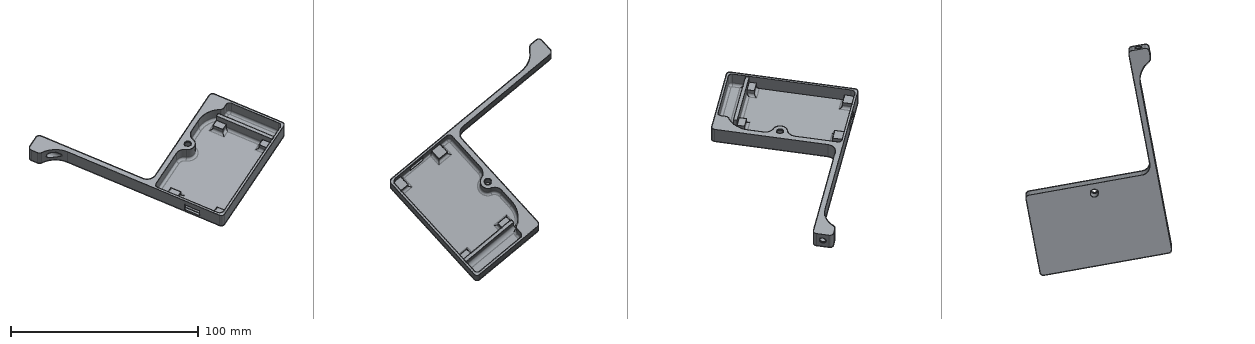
import math

import cadquery as cq

length = 113.5
thickness = 9.0
tray_width = 45.0
tray_depth = 71.5
corner_radius = 2.0

arm_width = 3.0
foot_drop = 8.0
foot_flat_end = 5.7
foot_radius = 2.3
foot_sweep_radius = 14.0
arm_root_radius = 5.0

floor_thickness = 1.0
wall = 1.35
lower_wall = 1.25
port_corner_radius = 2.5
left_wall = 3.0
floor_fillet = 1.5
port_side_fillet = 1.0
rib_back_fillet = 2.7
bay_left_offset = 11.0
shoulder_radius = 2.2
shoulder_sweep_radius = 14.0
shoulder_sweep_start = 51.7

hole_diameter = 3.6
bore_diameter = 4.3
lip_thickness = 1.0

screw_x = 73.8
screw_y = 35.0
screw_wall_radius = 4.0
screw_blend_radius = 5.0

pad_width = 6.0
pad_length = 6.0
lower_pads_top = 7.35
left_pad_x = 78.3
upper_pads_y = 55.2
pad_top = 4.7
rib_thickness = 2.0
rib_top = 8.4

port_x = 90.3
port_width = 9.0
port_bottom = 1.5
port_height = 4.0

foot_hole_y = -2.5
foot_hole_length = 20.0

tray_left = length - tray_width
pocket_left = tray_left + left_wall
pocket_right = length - wall
pocket_bottom = lower_wall
pocket_top = tray_depth - wall
bay_left = tray_left + bay_left_offset
right_pad_x = pocket_right - pad_width
pad_right = left_pad_x + pad_width
upper_pads_back = upper_pads_y + pad_length
rib_front = upper_pads_back - rib_thickness


def box(x0, x1, y0, y1, z0, z1):
    """Block between two opposite corners."""
    return cq.Workplane("XY").box(x1 - x0, y1 - y0, z1 - z0, centered=False).translate((x0, y0, z0))


def between(center_a, radius_a, center_b, radius_b):
    """Point where two circles that touch from outside meet."""
    share = radius_a / (radius_a + radius_b)
    return tuple(a + share * (b - a) for a, b in zip(center_a, center_b))


def on_circle(center, radius, start, end):
    """Middle point of the shorter arc from start to end."""
    dx = (start[0] + end[0]) / 2 - center[0]
    dy = (start[1] + end[1]) / 2 - center[1]
    reach = radius / math.hypot(dx, dy)
    return center[0] + dx * reach, center[1] + dy * reach


def upright_at(x, y):
    """Selector of the vertical edge at one corner."""
    reach = 0.01
    return cq.selectors.BoxSelector(
        (x - reach, y - reach, -thickness), (x + reach, y + reach, 2 * thickness)
    )


def make_blank():
    """Solid tray block with its arm and foot."""
    foot_center = (foot_flat_end, foot_radius - foot_drop)
    radii = foot_radius + foot_sweep_radius
    rise = foot_sweep_radius + foot_center[1]
    sweep_center = (foot_flat_end + math.sqrt(radii**2 - rise**2), -foot_sweep_radius)
    meet = between(foot_center, foot_radius, sweep_center, foot_sweep_radius)
    foot_start = (foot_flat_end, -foot_drop)
    sweep_end = (sweep_center[0], 0)
    outline = (
        cq.Workplane("XY")
        .moveTo(0, arm_width)
        .lineTo(0, -foot_drop)
        .lineTo(*foot_start)
        .threePointArc(on_circle(foot_center, foot_radius, foot_start, meet), meet)
        .threePointArc(on_circle(sweep_center, foot_sweep_radius, meet, sweep_end), sweep_end)
        .lineTo(length, 0)
        .lineTo(length, tray_depth)
        .lineTo(tray_left, tray_depth)
        .lineTo(tray_left, arm_width)
        .close()
    )
    blank = outline.extrude(thickness)
    outer_corners = [
        (0, arm_width),
        (0, -foot_drop),
        (length, 0),
        (length, tray_depth),
        (tray_left, tray_depth),
    ]
    for x, y in outer_corners:
        blank = blank.edges(upright_at(x, y)).fillet(corner_radius)
    return blank.edges(upright_at(tray_left, arm_width)).fillet(arm_root_radius)


def pocket_outline():
    """Inner wall of the pocket, running round the screw hole and the shoulder of the upper bay."""
    sweep_center = (pocket_left + shoulder_sweep_radius, shoulder_sweep_start)
    shoulder_x = bay_left - shoulder_radius
    radii = shoulder_radius + shoulder_sweep_radius
    shoulder_center = (
        shoulder_x,
        sweep_center[1] + math.sqrt(radii**2 - (sweep_center[0] - shoulder_x) ** 2),
    )
    shoulder_start = (bay_left, shoulder_center[1])
    shoulder_meet = between(shoulder_center, shoulder_radius, sweep_center, shoulder_sweep_radius)
    sweep_end = (pocket_left, shoulder_sweep_start)

    screw = (screw_x, screw_y)
    blend_x = pocket_left + screw_blend_radius
    blend_rise = math.sqrt(
        (screw_wall_radius + screw_blend_radius) ** 2 - (blend_x - screw_x) ** 2
    )
    upper_blend = (blend_x, screw_y + blend_rise)
    lower_blend = (blend_x, screw_y - blend_rise)
    upper_start = (pocket_left, upper_blend[1])
    lower_end = (pocket_left, lower_blend[1])
    upper_meet = between(screw, screw_wall_radius, upper_blend, screw_blend_radius)
    lower_meet = between(screw, screw_wall_radius, lower_blend, screw_blend_radius)

    return (
        cq.Workplane("XY", origin=(0, 0, floor_thickness))
        .moveTo(bay_left, pocket_top)
        .lineTo(*shoulder_start)
        .threePointArc(
            on_circle(shoulder_center, shoulder_radius, shoulder_start, shoulder_meet),
            shoulder_meet,
        )
        .threePointArc(
            on_circle(sweep_center, shoulder_sweep_radius, shoulder_meet, sweep_end), sweep_end
        )
        .lineTo(*upper_start)
        .threePointArc(
            on_circle(upper_blend, screw_blend_radius, upper_start, upper_meet), upper_meet
        )
        .threePointArc((screw_x + screw_wall_radius, screw_y), lower_meet)
        .threePointArc(
            on_circle(lower_blend, screw_blend_radius, lower_meet, lower_end), lower_end
        )
        .lineTo(pocket_left, pocket_bottom)
        .lineTo(pocket_right, pocket_bottom)
        .lineTo(pocket_right, pocket_top)
        .close()
    )


def make_pocket_space():
    """Full pocket volume with sharp floor edges."""
    space = pocket_outline().extrude(thickness - floor_thickness)
    for x, y, radius in [
        (bay_left, pocket_top, corner_radius),
        (pocket_left, pocket_bottom, corner_radius),
        (pocket_right, pocket_bottom, port_corner_radius),
        (pocket_right, pocket_top, corner_radius),
    ]:
        space = space.edges(upright_at(x, y)).fillet(radius)
    return space


def flared_section(plane, start, end, top, start_cove, end_cove):
    """Closed section that stands on the floor and widens there through a concave cove on each side.

    A cove radius of 0 leaves that side straight.
    """
    section = cq.Workplane(plane).moveTo(start - start_cove, 0)
    section = section.lineTo(start - start_cove, floor_thickness)
    if start_cove:
        section = section.radiusArc((start, floor_thickness + start_cove), -start_cove)
    section = section.lineTo(start, top).lineTo(end, top)
    if end_cove:
        section = section.lineTo(end, floor_thickness + end_cove)
        section = section.radiusArc((end + end_cove, floor_thickness), -end_cove)
    else:
        section = section.lineTo(end, floor_thickness)
    return section.lineTo(end + end_cove, 0).close()


def flared_block(x_range, y_range, top, x_coves, y_coves):
    """Block whose coved sides meet in mitres at the corners."""
    along_x = flared_section("XZ", *x_range, top, *x_coves).extrude(-2 * length)
    along_y = flared_section("YZ", *y_range, top, *y_coves).extrude(2 * length)
    return along_x.intersect(along_y)


def make_supports():
    """Four pads and the rib; those next to a wall run into it."""
    lower_y = (0, lower_pads_top)
    upper_y = (upper_pads_y, upper_pads_back)
    rib_y = (rib_front, upper_pads_back)
    left_x = (left_pad_x, pad_right)
    right_x = (right_pad_x, length)
    both_sides = (floor_fillet, floor_fillet)
    start_only = (floor_fillet, 0)
    end_only = (0, floor_fillet)

    rib_coves = (floor_fillet, rib_back_fillet)
    supports = flared_block((left_pad_x, length), rib_y, rib_top, start_only, rib_coves)
    for x_range, x_coves in ((left_x, both_sides), (right_x, start_only)):
        supports = supports.union(flared_block(x_range, upper_y, pad_top, x_coves, start_only))
        supports = supports.union(flared_block(x_range, lower_y, pad_top, x_coves, end_only))
    port_side = flared_block(
        (pad_right, right_pad_x), (0, pocket_bottom), pad_top, (0, 0), (0, port_side_fillet)
    )
    return supports.union(port_side)


def make_pocket():
    """Pocket volume to remove, with its floor fillets and with the supports left standing."""
    space = make_pocket_space()
    rounded = space.faces("<Z").edges().fillet(floor_fillet)
    sharp_right_wall = box(right_pad_x, length, 0, rib_front, 0, thickness)
    port_side = box(pad_right, right_pad_x, 0, lower_pads_top, 0, thickness)
    sharp_areas = space.intersect(sharp_right_wall.union(port_side))
    return rounded.union(sharp_areas).cut(make_supports())


def make_port():
    """Rectangular opening through the lower wall, reaching past the fillet behind it."""
    reach = pocket_bottom + port_side_fillet
    return box(port_x, port_x + port_width, 0, reach, port_bottom, port_bottom + port_height)


def stepped_hole(mouth, depth):
    """Hole sunk into the mouth plane, against its normal: a narrow lip and then a wider bore."""
    lip = mouth.circle(hole_diameter / 2).extrude(-lip_thickness)
    bore = mouth.workplane(offset=-lip_thickness).circle(bore_diameter / 2).extrude(lip_thickness - depth)
    return lip.union(bore)


def make_screw_hole():
    """Through hole with its lip at the top."""
    mouth = cq.Workplane("XY", origin=(screw_x, screw_y, thickness))
    return stepped_hole(mouth, thickness)


def make_foot_hole():
    """Hole along X from the foot's end face."""
    mouth = cq.Workplane("ZY", origin=(0, foot_hole_y, thickness / 2))
    return stepped_hole(mouth, foot_hole_length)


result = (
    make_blank()
    .cut(make_pocket())
    .cut(make_port())
    .cut(make_screw_hole())
    .cut(make_foot_hole())
)